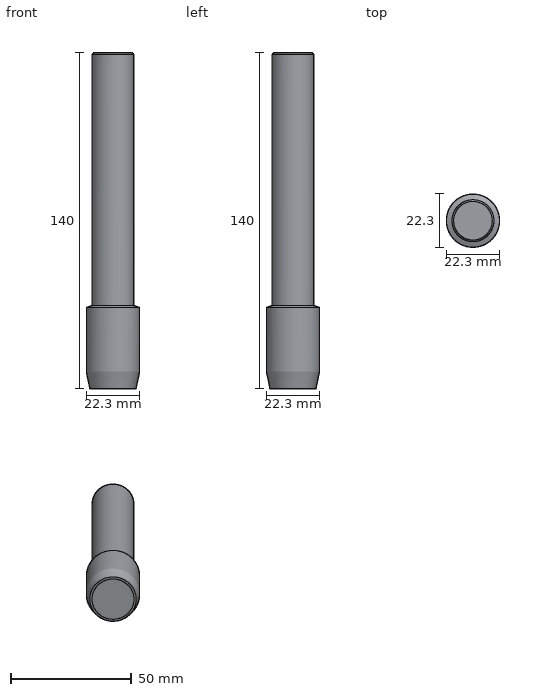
import cadquery as cq

total_length = 140.0
rod_diameter = 17.5
rod_chamfer = 0.7
sleeve_diameter = 22.3
sleeve_length = 34.7
shoulder_height = 0.8
nose_height = 7.0
nose_end_diameter = 19.3

rod_radius = rod_diameter / 2
sleeve_radius = sleeve_diameter / 2
nose_end_radius = nose_end_diameter / 2


def make_rod():
    """Plain rod running the full length, chamfered at its free end."""
    rod = cq.Workplane("XY").circle(rod_radius).extrude(total_length)
    return rod.faces(">Z").chamfer(rod_chamfer)


def make_sleeve():
    """Sleeve around the rod's lower end, with a tapered nose and a conical shoulder."""
    return (
        cq.Workplane("XZ")
        .moveTo(rod_radius, 0)
        .lineTo(nose_end_radius, 0)
        .lineTo(sleeve_radius, nose_height)
        .lineTo(sleeve_radius, sleeve_length - shoulder_height)
        .lineTo(rod_radius, sleeve_length)
        .close()
        .revolve(360, (0, 0, 0), (0, 1, 0))
    )


rod = make_rod()
sleeve = make_sleeve()

result = cq.Compound.makeCompound([rod.val(), sleeve.val()])